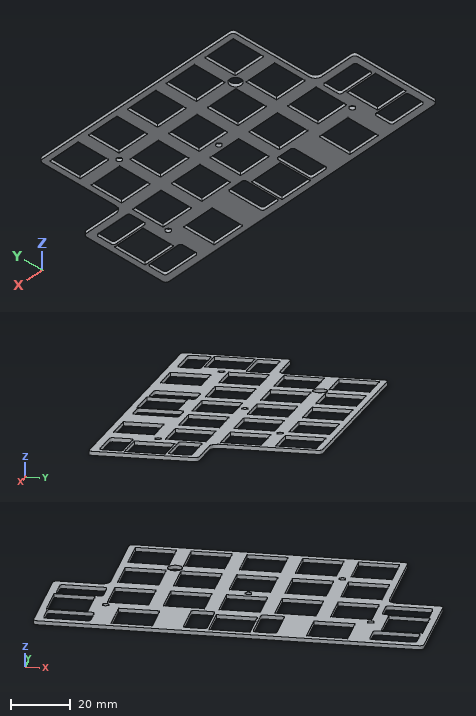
import cadquery as cq

KEY_PITCH = 19.05
THICKNESS = 1.5

LOWER_WIDTH = 7 * KEY_PITCH
UPPER_WIDTH = 5 * KEY_PITCH
HEIGHT = 4 * KEY_PITCH
LOWER_HEIGHT = 2 * KEY_PITCH
OUTER_CORNER_RADIUS = 1.5
INNER_CORNER_RADIUS = 3.0

SWITCH_SIZE = 14.0
GRID_COLUMNS = 5
GRID_ROWS = 3
BOTTOM_ROW_Y = -1.5 * KEY_PITCH
BOTTOM_SIDE_KEY_X = 1.75 * KEY_PITCH
TALL_KEY_X = 3 * KEY_PITCH
TALL_KEY_Y = -KEY_PITCH

STABILIZER_WIDTH = 8.0
STABILIZER_LENGTH = 16.0
STABILIZER_CORNER_RADIUS = 1.0
STABILIZER_SPACING = 11.9
STABILIZER_SHIFT = 1.5

SCREW_HOLE_DIAMETER = 2.2
ACCESS_HOLE_DIAMETER = 5.0
UPPER_HOLE_X = 1.5 * KEY_PITCH
UPPER_HOLE_Y = KEY_PITCH
LOWER_SCREW_X = 2.375 * KEY_PITCH
LOWER_SCREW_Y = -KEY_PITCH

SIDES = (-1, 1)


def round_corners(body, corners, radius):
    """Fillet the upright edge at each (x, y) corner of the body."""
    for x, y in corners:
        nearest = cq.selectors.NearestToPointSelector((x, y, THICKNESS / 2))
        body = body.edges("|Z").edges(nearest).fillet(radius)
    return body


def plate_blank():
    """Stepped plate with rounded outer and inner corners."""
    lower_x = LOWER_WIDTH / 2
    upper_x = UPPER_WIDTH / 2
    top_y = HEIGHT / 2
    step_y = LOWER_HEIGHT - top_y
    outer_corners = []
    inner_corners = []
    for side in SIDES:
        outer_corners.append((side * lower_x, -top_y))
        outer_corners.append((side * lower_x, step_y))
        outer_corners.append((side * upper_x, top_y))
        inner_corners.append((side * upper_x, step_y))

    lower = cq.Workplane("XY").center(0, step_y - LOWER_HEIGHT / 2).rect(LOWER_WIDTH, LOWER_HEIGHT)
    upper = cq.Workplane("XY").rect(UPPER_WIDTH, HEIGHT)
    blank = lower.extrude(THICKNESS).union(upper.extrude(THICKNESS)).clean()
    blank = round_corners(blank, outer_corners, OUTER_CORNER_RADIUS)
    return round_corners(blank, inner_corners, INNER_CORNER_RADIUS)


def switch_centers():
    """Centres of every switch cutout."""
    centers = []
    for row in range(GRID_ROWS):
        for column in range(GRID_COLUMNS):
            x = (column - (GRID_COLUMNS - 1) / 2) * KEY_PITCH
            y = BOTTOM_ROW_Y + (row + 1) * KEY_PITCH
            centers.append((x, y))
    centers.append((0, BOTTOM_ROW_Y))
    for side in SIDES:
        centers.append((side * BOTTOM_SIDE_KEY_X, BOTTOM_ROW_Y))
        centers.append((side * TALL_KEY_X, TALL_KEY_Y))
    return centers


def switch_cutouts():
    """Square openings that hold the key switches."""
    squares = cq.Workplane("XY").pushPoints(switch_centers()).rect(SWITCH_SIZE, SWITCH_SIZE)
    return squares.extrude(THICKNESS)


def stabilizer_cutouts(centers, size_x, size_y):
    """Rounded rectangular openings for the stabilizer housings."""
    slots = cq.Workplane("XY").pushPoints(centers).rect(size_x, size_y).extrude(THICKNESS)
    return slots.edges("|Z").fillet(STABILIZER_CORNER_RADIUS)


def wide_key_stabilizers():
    """Pair of upright openings beside the middle key of the bottom row."""
    y = BOTTOM_ROW_Y + STABILIZER_SHIFT
    centers = [(side * STABILIZER_SPACING, y) for side in SIDES]
    return stabilizer_cutouts(centers, STABILIZER_WIDTH, STABILIZER_LENGTH)


def tall_key_stabilizers():
    """Openings above and below the tall key at each end, shifted towards the plate centre."""
    centers = []
    for side in SIDES:
        x = side * (TALL_KEY_X - STABILIZER_SHIFT)
        for direction in SIDES:
            centers.append((x, TALL_KEY_Y + direction * STABILIZER_SPACING))
    return stabilizer_cutouts(centers, STABILIZER_LENGTH, STABILIZER_WIDTH)


def round_holes(centers, diameter):
    """Round through holes."""
    return cq.Workplane("XY").pushPoints(centers).circle(diameter / 2).extrude(THICKNESS)


screw_centers = [
    (0, 0),
    (UPPER_HOLE_X, UPPER_HOLE_Y),
    (-LOWER_SCREW_X, LOWER_SCREW_Y),
    (LOWER_SCREW_X, LOWER_SCREW_Y),
]
access_centers = [(-UPPER_HOLE_X, UPPER_HOLE_Y)]

result = (
    plate_blank()
    .cut(switch_cutouts())
    .cut(wide_key_stabilizers())
    .cut(tall_key_stabilizers())
    .cut(round_holes(screw_centers, SCREW_HOLE_DIAMETER))
    .cut(round_holes(access_centers, ACCESS_HOLE_DIAMETER))
)